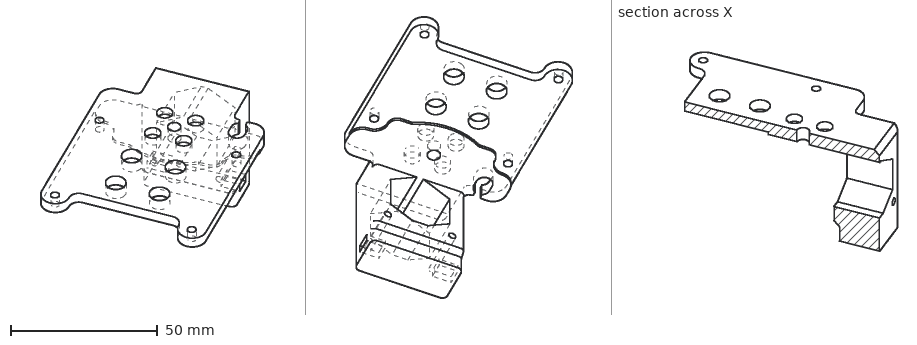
import cadquery as cq
import math

plate_width = 60.0
plate_length = 64.0
plate_thickness = 4.0
corner_radius = 5.0
leg_width = 2 * corner_radius
leg_root_radius = 3.5
leg_root_y = corner_radius + leg_root_radius
half_width = plate_width / 2
leg_inner_x = half_width - leg_width

pad_thickness = 5.0
pad_relief_y = 46.2
pad_relief_radius = 5.0
pad_shoulder_radius = 3.5
pad_nose_half_width = 12.5
pad_nose_y = 39.5

total_length = 81.0
block_width = 34.0
block_height = 42.0
block_edge_radius = 2.0
inside_corner_radius = 2.0
top_chamfer = 2.0
step_depth = 2.0
step_z = -34.0
half_block = block_width / 2

hex_across_flats = 22.0
hex_centre_z = -17.0
hex_floor_z = hex_centre_z - hex_across_flats / 2

block_hole_diameter = 2.53
block_hole_spacing = 24.0
block_hole_z = -29.0
side_pocket_length = 5.6
side_pocket_height = 3.0
side_pocket_depth = 7.0
side_pocket_centre_y = 73.4
side_pocket_centre_z = -36.55

mount_hole_diameter = 3.0
mount_hole_spacing_x = 50.0
mount_hole_spacing_y = 42.0
mount_hole_front_y = 4.5
access_hole_diameter = 7.0
access_hole_spacing_x = 16.0
access_hole_spacing_y = 15.0
access_hole_front_y = 18.0
hub_y = 52.5
hub_hole_diameter = 4.5
pocket_diameter = 5.5
pocket_depth = 3.0
pocket_circle_diameter = 16.0

notch_x = 21.0
notch_gap = 2.6
notch_lip_radius = 0.7
notch_radius = 2.9
notch_rear_y = plate_length - 4.4
notch_front_y = plate_length - 6.6


def arc_point(centre_x, centre_y, radius, angle):
    """Point on a circle, with the angle in degrees from +X."""
    turn = math.radians(angle)
    return (centre_x + radius * math.cos(turn), centre_y + radius * math.sin(turn))


def make_plate():
    """Plate with two round-ended legs at the front and round rear corners."""
    half = (
        cq.Workplane("XY")
        .moveTo(0, leg_root_y)
        .lineTo(leg_inner_x - leg_root_radius, leg_root_y)
        .threePointArc(
            arc_point(leg_inner_x - leg_root_radius, corner_radius, leg_root_radius, 45),
            (leg_inner_x, corner_radius),
        )
        .threePointArc((leg_inner_x + corner_radius, 0), (half_width, corner_radius))
        .lineTo(half_width, plate_length - corner_radius)
        .threePointArc(
            arc_point(half_width - corner_radius, plate_length - corner_radius, corner_radius, 45),
            (half_width - corner_radius, plate_length),
        )
        .lineTo(0, plate_length)
        .close()
        .extrude(-plate_thickness)
    )
    return half.union(half.mirror("YZ"))


def make_pad():
    """Thicker rear area, curving around the rear mounting holes to a bowed nose."""
    relief_x = half_width - corner_radius
    relief_rear_y = pad_relief_y + pad_relief_radius
    shoulder_x = relief_x - pad_relief_radius - pad_shoulder_radius
    shoulder_y = pad_relief_y - pad_shoulder_radius
    half = (
        cq.Workplane("XY")
        .moveTo(0, plate_length)
        .lineTo(half_width - corner_radius, plate_length)
        .threePointArc(
            arc_point(half_width - corner_radius, plate_length - corner_radius, corner_radius, 45),
            (half_width, plate_length - corner_radius),
        )
        .lineTo(half_width, relief_rear_y + corner_radius)
        .threePointArc(
            arc_point(relief_x, relief_rear_y + corner_radius, corner_radius, -45),
            (relief_x, relief_rear_y),
        )
        .threePointArc(
            arc_point(relief_x, pad_relief_y, pad_relief_radius, 135),
            (relief_x - pad_relief_radius, pad_relief_y),
        )
        .threePointArc(
            arc_point(shoulder_x, pad_relief_y, pad_shoulder_radius, -45),
            (shoulder_x, shoulder_y),
        )
        .lineTo(0, shoulder_y)
        .close()
        .extrude(-pad_thickness)
    )
    nose = (
        cq.Workplane("XY")
        .moveTo(-pad_nose_half_width, shoulder_y)
        .threePointArc((0, pad_nose_y), (pad_nose_half_width, shoulder_y))
        .close()
        .extrude(-pad_thickness)
    )
    return half.union(half.mirror("YZ")).union(nose)


def make_block():
    """Block with a stepped-back lower front, rounded sides and a chamfered top rear."""
    lower_front_y = plate_length + step_depth
    block = (
        cq.Workplane("YZ")
        .moveTo(plate_length, 0)
        .lineTo(plate_length, step_z)
        .lineTo(lower_front_y, step_z - step_depth)
        .lineTo(lower_front_y, -block_height)
        .lineTo(total_length, -block_height)
        .lineTo(total_length, 0)
        .close()
        .extrude(half_block, both=True)
    )
    side_edges = block.faces("<X or >X").edges("not (<Z or >Z)")
    rounded = side_edges.fillet(block_edge_radius)
    chamfer_wedge = (
        cq.Workplane("YZ")
        .moveTo(total_length - top_chamfer, 0)
        .lineTo(total_length, 0)
        .lineTo(total_length, -top_chamfer)
        .close()
        .extrude(half_block, both=True)
    )
    return rounded.cut(chamfer_wedge)


def make_inside_corners():
    """Concave rounds between the block sides and the rear edge of the plate."""
    bridge_width = block_width + 2 * inside_corner_radius
    bridge = (
        cq.Workplane("XY")
        .center(0, plate_length)
        .rect(bridge_width, 2 * inside_corner_radius)
        .extrude(-pad_thickness)
    )
    rounds = (
        cq.Workplane("XY")
        .pushPoints([
            (side * bridge_width / 2, plate_length + inside_corner_radius) for side in (-1, 1)
        ])
        .circle(inside_corner_radius)
        .extrude(-pad_thickness)
    )
    return bridge.cut(rounds)


def hole_grid(spacing_x, spacing_y, front_y, diameter):
    """Cutters for four through holes, two by two, placed symmetrically in X."""
    return (
        cq.Workplane("XY")
        .center(0, front_y + spacing_y / 2)
        .rect(spacing_x, spacing_y, forConstruction=True)
        .vertices()
        .circle(diameter / 2)
        .extrude(-pad_thickness)
    )


def make_hub_cutter():
    """Central through hole ringed by four blind pockets."""
    hub = cq.Workplane("XY").center(0, hub_y)
    hole = hub.circle(hub_hole_diameter / 2).extrude(-pad_thickness)
    pockets = (
        cq.Workplane("XY")
        .center(0, hub_y)
        .polarArray(pocket_circle_diameter / 2, 45, 360, 4)
        .circle(pocket_diameter / 2)
        .extrude(-pocket_depth)
    )
    return hole.union(pockets)


def make_notch_cutter():
    """Obround opening joined to the rear edge by a narrow neck with rounded lips."""
    obround = (
        cq.Workplane("XY")
        .center(notch_x, (notch_front_y + notch_rear_y) / 2)
        .slot2D(notch_rear_y - notch_front_y + 2 * notch_radius, 2 * notch_radius, 90)
        .extrude(-pad_thickness)
    )
    half_gap = notch_gap / 2
    lip_y = plate_length - notch_lip_radius
    lip_x = half_gap + notch_lip_radius
    neck = (
        cq.Workplane("XY")
        .moveTo(notch_x - half_gap, notch_rear_y)
        .lineTo(notch_x - half_gap, lip_y)
        .threePointArc(
            arc_point(notch_x - lip_x, lip_y, notch_lip_radius, 45),
            (notch_x - lip_x, plate_length),
        )
        .lineTo(notch_x + lip_x, plate_length)
        .threePointArc(
            arc_point(notch_x + lip_x, lip_y, notch_lip_radius, 135),
            (notch_x + half_gap, lip_y),
        )
        .lineTo(notch_x + half_gap, notch_rear_y)
        .close()
        .extrude(-pad_thickness)
    )
    return obround.union(neck)


def make_hex_cutter():
    """Point-up hexagon through the block, below the pad and above the flat floor."""
    hex_circle_radius = hex_across_flats / math.sqrt(3)
    hexagon = (
        cq.Workplane("XZ", origin=(0, plate_length, hex_centre_z))
        .transformed(rotate=(0, 0, 90))
        .polygon(6, 2 * hex_circle_radius)
        .extrude(-(total_length - plate_length))
    )
    window_height = -pad_thickness - hex_floor_z
    window = cq.Workplane("XY").box(
        hex_across_flats, total_length, window_height, centered=(True, False, False)
    )
    return hexagon.intersect(window.translate((0, plate_length, hex_floor_z)))


def make_block_hole_cutter():
    """Two screw holes running front to back through the block."""
    return (
        cq.Workplane("XZ", origin=(0, plate_length, block_hole_z))
        .pushPoints([(side * block_hole_spacing / 2, 0) for side in (-1, 1)])
        .circle(block_hole_diameter / 2)
        .extrude(-(total_length - plate_length))
    )


def make_side_pocket_cutter():
    """Blind rectangular pockets, one in each side of the lower block."""
    return (
        cq.Workplane("XY", origin=(0, side_pocket_centre_y, side_pocket_centre_z))
        .pushPoints([(side * (half_block - side_pocket_depth / 2), 0) for side in (-1, 1)])
        .box(side_pocket_depth, side_pocket_length, side_pocket_height)
    )


body = make_plate().union(make_pad()).union(make_block()).union(make_inside_corners())

cutters = [
    hole_grid(mount_hole_spacing_x, mount_hole_spacing_y, mount_hole_front_y, mount_hole_diameter),
    hole_grid(access_hole_spacing_x, access_hole_spacing_y, access_hole_front_y, access_hole_diameter),
    make_hub_cutter(),
    make_notch_cutter(),
    make_hex_cutter(),
    make_block_hole_cutter(),
    make_side_pocket_cutter(),
]
for cutter in cutters:
    body = body.cut(cutter)

result = body